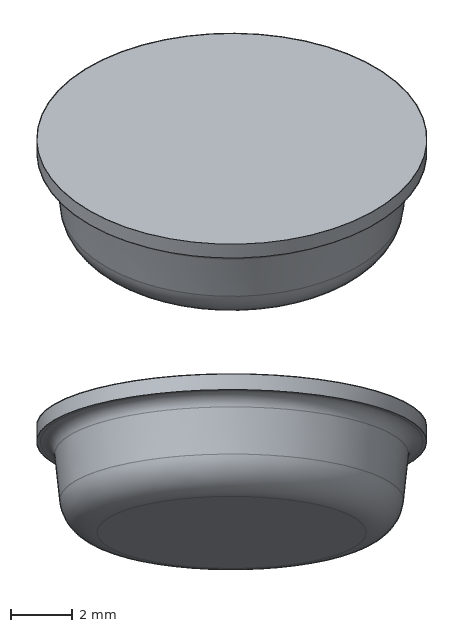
import cadquery as cq
import math

flange_diameter = 12.7
flange_thickness = 0.53
total_height = 3.6
plug_top_radius = 5.8
draft_angle = 6.0
neck_fillet = 0.47
bottom_fillet = 1.22

flange_radius = flange_diameter / 2
plug_height = total_height - flange_thickness
plug_bottom_radius = plug_top_radius - plug_height * math.tan(math.radians(draft_angle))

cap = (
    cq.Workplane("XZ")
    .polyline([
        (0, 0),
        (plug_bottom_radius, 0),
        (plug_top_radius, plug_height),
        (flange_radius, plug_height),
        (flange_radius, total_height),
        (0, total_height),
    ])
    .close()
    .revolve(360, (0, 0), (0, 1))
)

second_smallest_circle = cq.selectors.RadiusNthSelector(1)
cap = cap.edges("%CIRCLE").edges(second_smallest_circle).fillet(neck_fillet)
result = cap.faces("<Z").edges().fillet(bottom_fillet)